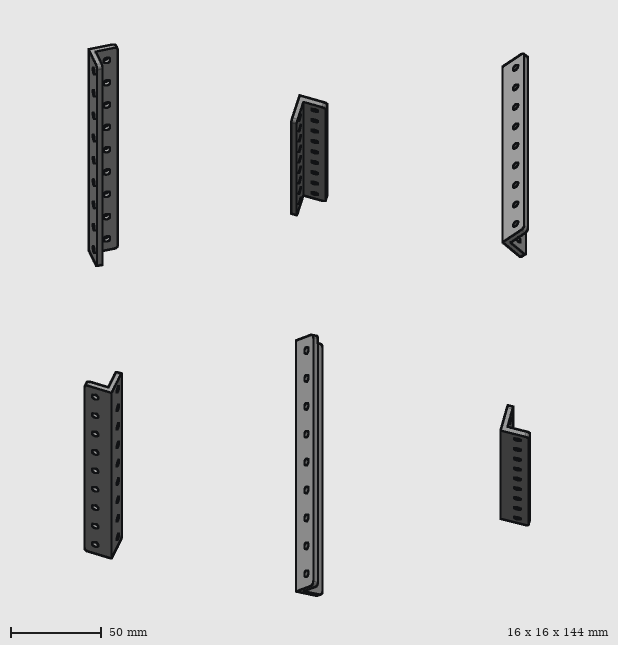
import cadquery as cq

length = 144.0
hole_count = 9
hole_pitch = length / hole_count
leg_width = hole_pitch
thickness = 3.2
hole_diameter = 3.7
hole_offset = 9.6
corner_radius = 2.2


def leg_along_x():
    """Flat leg in the XZ plane with rounded free corners and a row of holes."""
    plate = cq.Workplane("XY").box(leg_width, thickness, length, centered=False)
    plate = plate.edges("|Y and >X").fillet(corner_radius)
    for index in range(hole_count):
        hole_height = (index + 0.5) * hole_pitch
        hole = (
            cq.Workplane("XZ", origin=(hole_offset, 0, hole_height))
            .circle(hole_diameter / 2)
            .extrude(-thickness)
        )
        plate = plate.cut(hole)
    return plate


front_leg = leg_along_x()
side_leg = front_leg.mirror("YZ").rotate((0, 0, 0), (0, 0, 1), -90)

result = front_leg.union(side_leg)